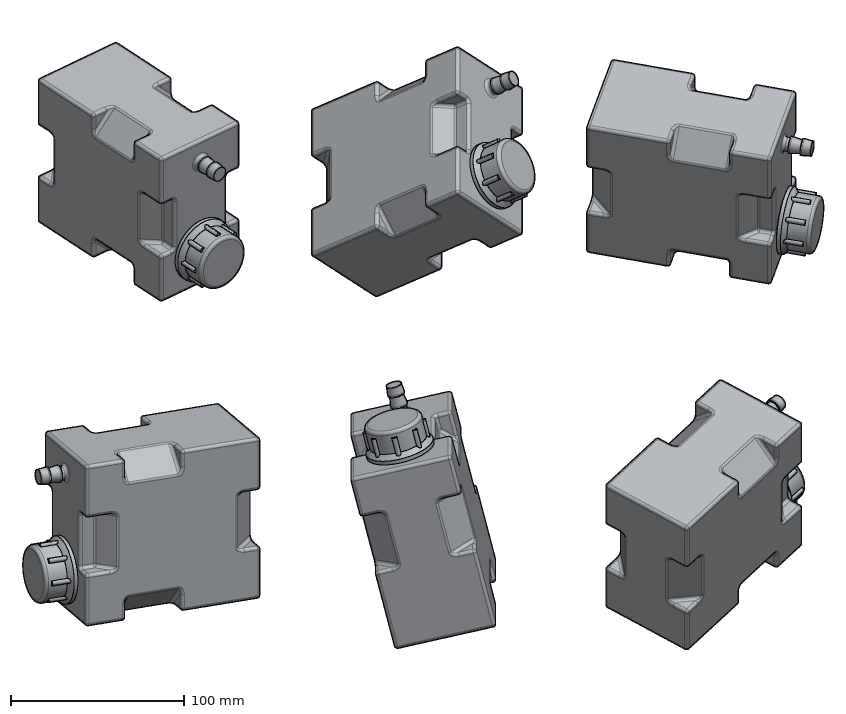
import cadquery as cq

TOTAL_LENGTH = 130.0
LENGTH = 110.0
WIDTH = 60.0
HEIGHT = 100.0
ROUND = 2.0

NOTCH_WIDTH = 35.1
NOTCH_LEG = 15.0
NOTCH_X = 67.5
NOTCH_Z = HEIGHT / 2
STEP_INSET = 19.9
STEP_DEPTH = 10.0
OVERCUT = 13.0

NOZZLE_Z = HEIGHT - 15.0
NOZZLE_LENGTH = 17.0
NECK_RADIUS = 8.0 / 2
BARB_RADIUS = 10.0 / 2
TIP_RADIUS = 9.0 / 2
TIP_LENGTH = 0.5
BARB_WIDTH = 1.0
BARB_STARTS = (3.8, 10.9)

CAP_Z = 25.0
CAP_LENGTH = TOTAL_LENGTH - LENGTH
CAP_RADIUS = 17.0
CAP_ROUND = 2.1
FLANGE_RADIUS = 20.0
FLANGE_START = 0.8
FLANGE_END = 3.1
RIB_COUNT = 8
RIB_RADIUS = 1.5
RIB_END = 16.0

EMBED = 1.3


def notch_cutter(floor_points):
    """Prism for a notch along an edge at the origin, with its floor corners rounded.

    The block lies at negative local x and y, and the notch runs along local z.
    """
    outline = floor_points + [(OVERCUT, OVERCUT)]
    prism = cq.Workplane("XY").polyline(outline).close().extrude(NOTCH_WIDTH / 2, both=True)
    reach = STEP_INSET + OVERCUT
    inside = OVERCUT / 2
    floor_edges = cq.selectors.BoxSelector((-reach, -reach, -reach), (inside, inside, reach))
    return prism.edges(floor_edges).fillet(ROUND).val()


def housing():
    """Block with ramp notches at the top, bottom and X = 0 end, and step notches at the other end."""
    block = cq.Workplane("XY").box(LENGTH, WIDTH, HEIGHT, centered=(False, True, False))
    ramp = notch_cutter([
        (-NOTCH_LEG - OVERCUT, OVERCUT),
        (OVERCUT, -NOTCH_LEG - OVERCUT),
    ])
    step = notch_cutter([
        (-STEP_INSET - OVERCUT, OVERCUT),
        (-STEP_INSET + STEP_DEPTH, -STEP_DEPTH),
        (OVERCUT, -STEP_DEPTH),
    ])
    notches = [
        (ramp, NOTCH_X, HEIGHT, cq.Vector(0, 0, 1)),
        (ramp, NOTCH_X, 0, cq.Vector(0, 0, -1)),
        (ramp, 0, NOTCH_Z, cq.Vector(-1, 0, 0)),
        (step, LENGTH, NOTCH_Z, cq.Vector(1, 0, 0)),
    ]
    for side in (-1, 1):
        side_out = cq.Vector(0, side, 0)
        for cutter, x, z, face_out in notches:
            frame = cq.Plane((x, side * WIDTH / 2, z), face_out, face_out.cross(side_out))
            block = block.cut(cutter.moved(frame.location))
    outer_faces = block.faces("<X or >X or <Y or >Y or <Z or >Z")
    return outer_faces.edges().fillet(ROUND)


def turned(profile, z):
    """Revolve an (x, radius) sketch outline about an axis along X at height z, from the end wall."""
    return profile.close().revolve(360, (0, 0, 0), (1, 0, 0)).translate((LENGTH, 0, z))


def nozzle():
    """Barbed hose nozzle with a flared root."""
    first, second = BARB_STARTS
    cone_end = NOZZLE_LENGTH - TIP_LENGTH
    profile = (
        cq.Workplane("XY")
        .moveTo(-EMBED, 0)
        .lineTo(-EMBED, NECK_RADIUS + ROUND)
        .lineTo(0, NECK_RADIUS + ROUND)
        .radiusArc((ROUND, NECK_RADIUS), -ROUND)
        .lineTo(first, NECK_RADIUS)
        .lineTo(first, BARB_RADIUS)
        .lineTo(first + BARB_WIDTH, BARB_RADIUS)
        .lineTo(second, NECK_RADIUS)
        .lineTo(second, BARB_RADIUS)
        .lineTo(second + BARB_WIDTH, BARB_RADIUS)
        .lineTo(cone_end, TIP_RADIUS)
        .lineTo(NOZZLE_LENGTH, TIP_RADIUS)
        .lineTo(NOZZLE_LENGTH, 0)
    )
    return turned(profile, NOZZLE_Z)


def cap():
    """Screw cap: collar, flange with a 45 degree back, ribbed barrel, rounded end."""
    cone_end = FLANGE_END + FLANGE_RADIUS - CAP_RADIUS
    profile = (
        cq.Workplane("XY")
        .moveTo(-EMBED, 0)
        .lineTo(-EMBED, CAP_RADIUS)
        .lineTo(FLANGE_START, CAP_RADIUS)
        .lineTo(FLANGE_START, FLANGE_RADIUS)
        .lineTo(FLANGE_END, FLANGE_RADIUS)
        .lineTo(cone_end, CAP_RADIUS)
        .lineTo(CAP_LENGTH - CAP_ROUND, CAP_RADIUS)
        .radiusArc((CAP_LENGTH, CAP_RADIUS - CAP_ROUND), CAP_ROUND)
        .lineTo(CAP_LENGTH, 0)
    )
    ribs = (
        cq.Workplane("YZ", origin=(LENGTH + FLANGE_START, 0, CAP_Z))
        .polarArray(CAP_RADIUS, 0, 360, RIB_COUNT)
        .circle(RIB_RADIUS)
        .extrude(RIB_END - FLANGE_START)
    )
    return turned(profile, CAP_Z).union(ribs)


result = housing().union(nozzle()).union(cap())